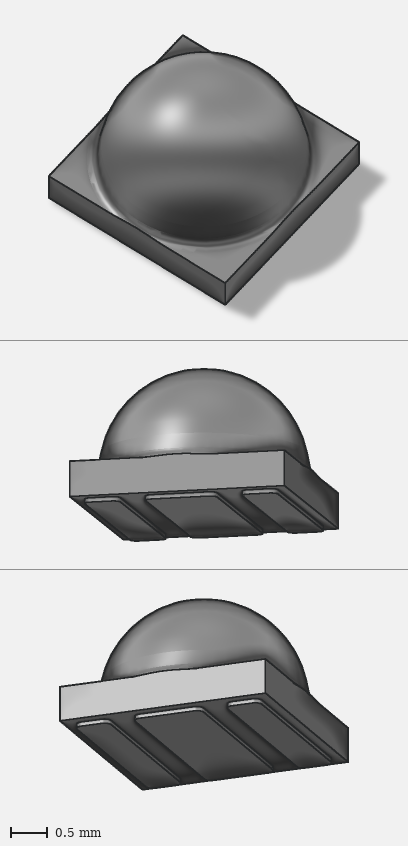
import cadquery as cq
import math

body_side = 3.0
total_height = 2.02

pad_thickness = 0.06
pad_length = 2.7
pad_corner_radius = 0.1
side_pad_width = 0.5
center_pad_width = 1.0
side_pad_offset = pad_length / 2 - side_pad_width / 2

substrate_thickness = 0.49
substrate_top = pad_thickness + substrate_thickness

dome_radius = 1.425
skirt_draft = math.radians(11.5)
foot_fillet_radius = 0.15
dome_center_z = total_height - dome_radius


def make_pad(center_x, width):
    """Rounded rectangular pad, long along Y, standing on Z = 0."""
    return (
        cq.Workplane("XY")
        .center(center_x, 0)
        .rect(width, pad_length)
        .extrude(pad_thickness)
        .edges("|Z")
        .fillet(pad_corner_radius)
    )


def make_substrate():
    return (
        cq.Workplane("XY")
        .workplane(offset=pad_thickness)
        .rect(body_side, body_side)
        .extrude(substrate_thickness)
    )


def dome_point(elevation):
    """Radius and height on the dome at an elevation angle above its center."""
    radius = dome_radius * math.cos(elevation)
    height = dome_center_z + dome_radius * math.sin(elevation)
    return radius, height


def make_lens():
    """Revolved lens, trimmed where its foot fillet overhangs the substrate."""
    skirt_top_radius, skirt_top_z = dome_point(skirt_draft)
    skirt_foot_radius = skirt_top_radius + (skirt_top_z - substrate_top) * math.tan(skirt_draft)

    tangent_length = foot_fillet_radius * math.tan((math.pi / 2 - skirt_draft) / 2)
    fillet_outer_radius = skirt_foot_radius + tangent_length
    fillet_center_z = substrate_top + foot_fillet_radius
    fillet_top = (
        skirt_foot_radius - tangent_length * math.sin(skirt_draft),
        substrate_top + tangent_length * math.cos(skirt_draft),
    )
    fillet_mid_angle = (math.pi / 2 + skirt_draft) / 2
    fillet_mid = (
        fillet_outer_radius - foot_fillet_radius * math.cos(fillet_mid_angle),
        fillet_center_z - foot_fillet_radius * math.sin(fillet_mid_angle),
    )

    dome_mid = dome_point((skirt_draft + math.pi / 2) / 2)
    revolved = (
        cq.Workplane("XZ")
        .moveTo(0, substrate_top)
        .lineTo(fillet_outer_radius, substrate_top)
        .threePointArc(fillet_mid, fillet_top)
        .lineTo(skirt_top_radius, skirt_top_z)
        .threePointArc(dome_mid, (0, total_height))
        .close()
        .revolve(360, (0, 0, 0), (0, 1, 0))
    )
    envelope = cq.Workplane("XY").rect(body_side, body_side).extrude(total_height)
    return revolved.intersect(envelope)


result = make_substrate().union(make_lens())
for x, width in (
    (-side_pad_offset, side_pad_width),
    (0, center_pad_width),
    (side_pad_offset, side_pad_width),
):
    result = result.union(make_pad(x, width))